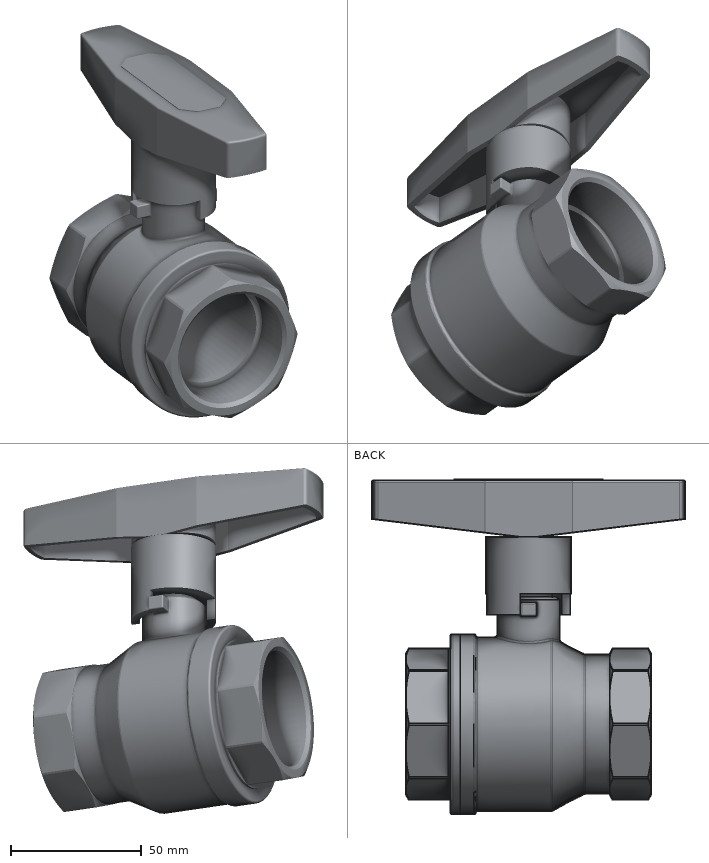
import cadquery as cq
import math


bore_radius = 40.0 / 2
thread_radius = 44.9 / 2
mouth_radius = 47.7 / 2
mouth_chamfer = 1.3
thread_depth = 17.4

ball_radius = 62.0 / 2
ball_clearance = 0.4
chamber_radius = ball_radius + ball_clearance
ball_end = math.sqrt(ball_radius**2 - bore_radius**2)
seat_radius = 24.4
seat_back = ball_end + 0.8

valve_half_length = 46.9
octagon_flats = 53.8
octagon_corner_radius = 29.0
octagon_chamfer_angle = 30.0
housing_octagon_end = -31.0

collar_radius = 69.0 / 2
throat_radius = 26.7
shell_radius = 33.3
cone_start = -21.4
cone_end = -8.8
collar_start = 20.1
joint = 26.0
collar_end = 29.9
collar_round = 0.9
collar_root_round = 0.5
relief_end = 30.8
cone_round = 1.3
spigot_start = 18.0

neck_radius = 24.0 / 2
neck_top = 48.7
neck_chamfer_width = 1.4
neck_chamfer_height = 1.2
neck_root_round = 0.9
lug_reach = 17.5
lug_bottom = 41.3
lug_top = 46.7
lug_round = 0.5
lug_root_round = 0.6

stem_radius = 18.3 / 2
stem_bottom = ball_radius + 0.1
stem_top = 61.5
tang_bottom = 25.0
tang_width = 6.4
tang_length = 12.8

hub_bottom = 41.8
notch_top = 49.9
grip_bottom = 71.7
grip_top = 93.3
hub_radius = 16.3
hub_inner_radius = 13.1
post_offset = 3.1
grip_half_length = 119.9 / 2
grip_corner = 58.7
grip_half_width = 16.4
grip_end_half_width = 8.7
grip_middle = 16.7
grip_flat = 3.8
grip_end_bottom = 78.5
grip_round = 0.9
grip_corner_round = 1.7
grip_wall = 2.2
grip_core_radius = 16.2
plate_top = 128.2 - collar_radius
plate_length = 56.9
plate_width = 20.5
plate_chamfer = 5.4


def x_cylinder(radius, x_start, x_end):
    """Cylinder along the pipe axis."""
    return cq.Workplane("YZ", origin=(x_start, 0, 0)).circle(radius).extrude(x_end - x_start)


def z_cylinder(radius, z_start, z_end):
    """Cylinder along the stem axis."""
    return cq.Workplane("XY", origin=(0, 0, z_start)).circle(radius).extrude(z_end - z_start)


def block(x_range, y_range, z_range):
    """Box between two limits on each axis."""
    low, high = zip(x_range, y_range, z_range)
    sizes = [b - a for a, b in zip(low, high)]
    return cq.Workplane("XY", origin=low).box(*sizes, centered=False)


def ball_shape(radius):
    """Sphere about the origin with its poles on the pipe axis."""
    return cq.Workplane("XY").sphere(radius).rotate((0, 0, 0), (0, 1, 0), 90)


def revolve_about_x(profile):
    """Turn a closed (x, radius) profile about the pipe axis."""
    return profile.close().revolve(360, (0, 0, 0), (1, 0, 0))


def octagon_end(x_outer, x_inner, inner_chamfered):
    """Octagonal wrench end with corners on Y and Z, all corners turned to one radius.

    The outer end is chamfered, and the inner end too where asked.
    """
    flat_radius = octagon_flats / 2
    point_radius = flat_radius / math.cos(math.pi / 8)
    length = abs(x_inner - x_outer)
    prism = cq.Workplane("YZ").polygon(8, 2 * point_radius).extrude(length)
    turned = x_cylinder(octagon_corner_radius, 0, length)
    chamfer = octagon_corner_radius - flat_radius
    chamfer_length = chamfer * math.tan(math.radians(octagon_chamfer_angle))
    turned = turned.faces("<X").chamfer(chamfer_length, chamfer)
    if inner_chamfered:
        turned = turned.faces(">X").chamfer(chamfer_length, chamfer)
    wrench_end = prism.intersect(turned)
    if x_outer > 0:
        wrench_end = mirrored(wrench_end)
    return wrench_end.translate((x_outer, 0, 0))


def threaded_mouth():
    """Passage cutter at the -X end: chamfered mouth, thread bore, then the plain bore."""
    mouth = -valve_half_length
    return revolve_about_x(
        cq.Workplane("XY")
        .moveTo(mouth, 0)
        .lineTo(mouth, mouth_radius)
        .lineTo(mouth + mouth_chamfer, thread_radius)
        .lineTo(mouth + thread_depth, thread_radius)
        .lineTo(mouth + thread_depth, bore_radius)
        .lineTo(0, bore_radius)
        .lineTo(0, 0)
    )


def mirrored(body):
    """Mirror image on the other side of the stem axis."""
    return body.mirror("YZ")


def make_seat():
    """Ring on the -X side with a spherical face that bears on the ball."""
    blank = x_cylinder(seat_radius, -seat_back, -math.sqrt(ball_radius**2 - seat_radius**2))
    bore = x_cylinder(bore_radius, -seat_back, 0)
    return blank.cut(bore).cut(ball_shape(ball_radius))


def make_tang():
    """Flat key at the foot of the stem."""
    half_width = tang_width / 2
    half_length = tang_length / 2
    return block(
        (-half_width, half_width), (-half_length, half_length), (tang_bottom, stem_bottom)
    )


def make_ball():
    """Ball with a through bore and a slot for the stem key."""
    ball = ball_shape(ball_radius)
    return ball.cut(x_cylinder(bore_radius, -ball_radius, ball_radius)).cut(make_tang())


def make_stem():
    """Round stem with the key that turns the ball."""
    return z_cylinder(stem_radius, stem_bottom, stem_top).union(make_tang())


def near_x(x):
    """Selects the edges that lie in the plane at x."""
    size = 2 * collar_radius
    return cq.selectors.BoxSelector((x - 0.1, -size, -size), (x + 0.1, size, size), boundingbox=True)


def make_shell():
    """Turned outside of the housing, from the wrench end to the joint with the cap."""
    barrel = (
        revolve_about_x(
            cq.Workplane("XY")
            .moveTo(housing_octagon_end, 0)
            .lineTo(housing_octagon_end, throat_radius)
            .lineTo(cone_start, throat_radius)
            .lineTo(cone_end, shell_radius)
            .lineTo(joint, shell_radius)
            .lineTo(joint, 0)
        )
        .edges(near_x(cone_start))
        .fillet(cone_round)
        .edges(near_x(cone_end))
        .fillet(cone_round)
    )
    collar = x_cylinder(collar_radius, collar_start, joint).faces("<X").edges().fillet(collar_round)
    return barrel.union(collar).edges(near_x(collar_start)).fillet(collar_root_round)


def make_lugs():
    """Two stop lugs on opposite sides of the neck."""
    half_width = post_offset
    bar = block((-half_width, half_width), (-lug_reach, lug_reach), (lug_bottom, lug_top))
    return bar.edges().fillet(lug_round)


def make_neck():
    """Stem neck with a chamfered top and the stop lugs blended into its side."""
    neck = z_cylinder(neck_radius, 0, neck_top)
    neck = neck.faces(">Z").chamfer(neck_chamfer_height, neck_chamfer_width)
    neck = neck.union(make_lugs())
    lug_roots = cq.selectors.BoxSelector(
        (-neck_radius, -neck_radius - 0.1, lug_bottom - 0.1),
        (neck_radius, neck_radius + 0.1, lug_top + 0.1),
        boundingbox=True,
    )
    return neck.edges(lug_roots).fillet(lug_root_round)


def make_housing():
    """Turned shell with the neck, the -X wrench end and the ball chamber."""
    outside = make_shell().union(make_neck())
    neck_root = cq.selectors.BoxSelector(
        (-neck_radius - 0.1, -neck_radius - 0.1, throat_radius),
        (neck_radius + 0.1, neck_radius + 0.1, shell_radius + 0.1),
        boundingbox=True,
    )
    outside = outside.edges(neck_root).fillet(neck_root_round)
    outside = outside.union(octagon_end(-valve_half_length, housing_octagon_end, True))
    return (
        outside.cut(threaded_mouth())
        .cut(x_cylinder(seat_radius, -seat_back, 0))
        .cut(ball_shape(chamber_radius))
        .cut(x_cylinder(chamber_radius, 0, joint))
        .cut(z_cylinder(stem_radius, 0, neck_top))
    )


def make_cap():
    """Screwed-in end cap that closes the +X side of the housing."""
    flange = x_cylinder(collar_radius, joint, collar_end).faces(">X").edges().fillet(collar_round)
    spigot = x_cylinder(chamber_radius, spigot_start, joint)
    relief = x_cylinder(octagon_corner_radius, collar_end, relief_end)
    wrench_end = octagon_end(valve_half_length, relief_end, False)
    cap = flange.union(spigot).union(relief).union(wrench_end)
    return (
        cap.cut(mirrored(threaded_mouth()))
        .cut(x_cylinder(seat_radius, 0, seat_back))
        .cut(ball_shape(chamber_radius))
    )


def arm_outline(inset):
    """Plan of the grip, straight tapered arms with bowed ends, moved in by the inset."""
    corner = grip_corner - inset
    end_half_width = grip_end_half_width - inset
    half_width = grip_half_width - inset
    half_length = grip_half_length - inset
    return (
        cq.Workplane("XY", origin=(0, 0, grip_bottom))
        .moveTo(-corner, -end_half_width)
        .lineTo(-grip_middle, -half_width)
        .lineTo(grip_middle, -half_width)
        .lineTo(corner, -end_half_width)
        .threePointArc((half_length, 0), (corner, end_half_width))
        .lineTo(grip_middle, half_width)
        .lineTo(-grip_middle, half_width)
        .lineTo(-corner, end_half_width)
        .threePointArc((-half_length, 0), (-corner, -end_half_width))
        .close()
    )


def make_grip():
    """Two-armed grip, hollow from below around a round core, with a raised plate on top."""
    block_plan = arm_outline(0).extrude(grip_top - grip_bottom)
    end_corners = block_plan.edges("|Z").edges("<X or >X")
    block_plan = end_corners.fillet(grip_corner_round)
    side = (
        cq.Workplane("XZ", origin=(0, grip_half_width, 0))
        .moveTo(-grip_half_length, grip_top)
        .lineTo(-grip_half_length, grip_end_bottom)
        .lineTo(-grip_flat, grip_bottom)
        .lineTo(grip_flat, grip_bottom)
        .lineTo(grip_half_length, grip_end_bottom)
        .lineTo(grip_half_length, grip_top)
        .close()
        .extrude(2 * grip_half_width)
    )
    grip = block_plan.intersect(side).faces(">Z").edges().fillet(grip_round)
    core = z_cylinder(grip_core_radius, grip_bottom, grip_top)
    hollow = arm_outline(grip_wall).extrude(grip_top - grip_wall - grip_bottom).cut(core)
    plate = (
        cq.Workplane("XY", origin=(0, 0, grip_top))
        .rect(plate_length, plate_width)
        .extrude(plate_top - grip_top)
        .edges("|Z")
        .chamfer(plate_chamfer)
    )
    return grip.cut(hollow).union(plate)


def make_posts():
    """Two quarter-ring posts under the hub that meet the stop lugs of the neck."""
    ring = z_cylinder(hub_radius, hub_bottom, notch_top)
    ring = ring.cut(z_cylinder(hub_inner_radius, hub_bottom, notch_top))
    span = (post_offset, hub_radius)
    corner = block(span, span, (hub_bottom, notch_top))
    post = ring.intersect(corner)
    return post, post.rotate((0, 0, 0), (0, 0, 1), 180)


def make_handle():
    """Grip on a round hub with a blind socket for the stem."""
    handle = make_grip().union(z_cylinder(hub_radius, notch_top, grip_bottom))
    for post in make_posts():
        handle = handle.union(post)
    return handle.cut(z_cylinder(stem_radius, hub_bottom, stem_top))


seat = make_seat()
housing = make_housing()
cap = make_cap()
ball = make_ball()
stem = make_stem()
handle = make_handle()
seats = [seat, mirrored(seat)]

result = cq.Compound.makeCompound(
    [b.val() for b in (housing, cap, ball, stem, handle, *seats)]
)